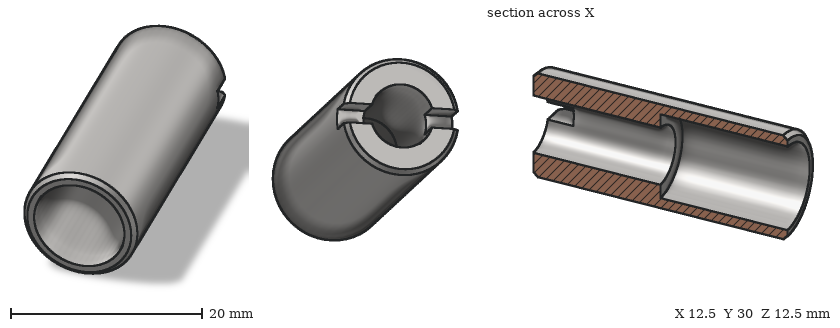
import cadquery as cq

length = 30.0
outer_diameter = 12.5
end_chamfer = 0.5

wide_bore_diameter = 10.0
narrow_bore_diameter = 6.8
wide_bore_depth = length / 2

slot_width = 2.1
slot_depth = 3.0

front_y = -length / 2
back_y = length / 2


def cylinder_along_y(diameter, start_y, height):
    """Solid cylinder on the Y axis, growing toward +Y from start_y."""
    return (
        cq.Workplane("XZ", origin=(0, start_y, 0))
        .circle(diameter / 2)
        .extrude(-height)
    )


def chamfered_body():
    body = cylinder_along_y(outer_diameter, front_y, length)
    return body.faces("<Y or >Y").edges().chamfer(end_chamfer)


def stepped_bore():
    wide_bore = cylinder_along_y(wide_bore_diameter, front_y, wide_bore_depth)
    narrow_bore = cylinder_along_y(narrow_bore_diameter, front_y, length)
    return wide_bore.union(narrow_bore)


def end_slot():
    """Slot running fully across the part in X, open at the +Y end."""
    slot = cq.Workplane("XY").box(outer_diameter, slot_depth, slot_width)
    return slot.translate((0, back_y - slot_depth / 2, 0))


result = chamfered_body().cut(stepped_bore()).cut(end_slot())